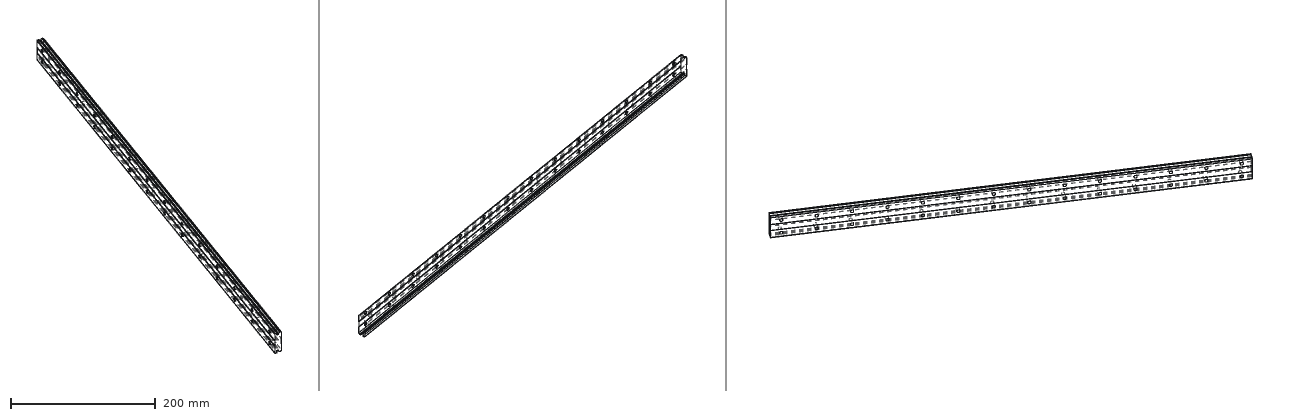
import cadquery as cq

length = 680.0

web_height = 30.0
slot_depth = 3.55
flange_thickness = 3.5
slot_width = 3.0
ridge_thickness = 4.9

ridge_bevel = 1.7
flange_bevel = 1.0

channel_width = 10.0
channel_depth = 1.0

hole_diameter = 4.5
holes_per_row = 14
end_margin = 15.0
row_spacing = 22.0
hole_pitch = (length - 2 * end_margin) / (holes_per_row - 1)

thickness = flange_thickness + slot_width + ridge_thickness
front = -thickness / 2
back = thickness / 2
flange_back = front + flange_thickness
ridge_front = flange_back + slot_width
slot_floor = web_height / 2
top = slot_floor + slot_depth
half_channel = channel_width / 2


def rail_body():
    """Constant cross-section, drawn for the upper half and mirrored to the lower half."""
    upper_half = [
        (front + channel_depth, half_channel),
        (front, half_channel),
        (front, top - flange_bevel),
        (front + flange_bevel, top),
        (flange_back, top),
        (flange_back, slot_floor),
        (ridge_front, slot_floor),
        (ridge_front, top - ridge_bevel),
        (ridge_front + ridge_bevel, top),
        (back - ridge_bevel, top),
        (back, top - ridge_bevel),
        (back, half_channel),
        (back - channel_depth, half_channel),
    ]
    lower_half = [(y, -z) for y, z in reversed(upper_half)]
    return (
        cq.Workplane("YZ", origin=(-length / 2, 0, 0))
        .polyline(upper_half + lower_half)
        .close()
        .extrude(length)
    )


def screw_holes():
    """Two rows of round holes passing through the thickness."""
    return (
        cq.Workplane("XZ", origin=(0, back, 0))
        .rarray(hole_pitch, row_spacing, holes_per_row, 2)
        .circle(hole_diameter / 2)
        .extrude(thickness)
    )


result = rail_body().cut(screw_holes())